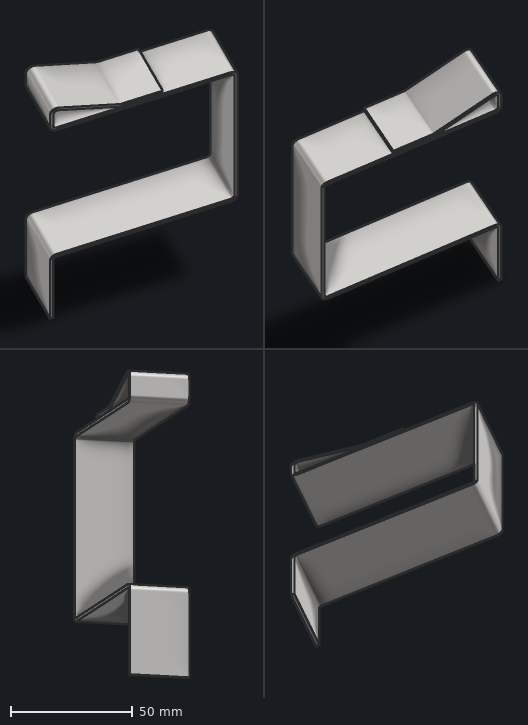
import cadquery as cq
import math

width = 25.4
depth = 84.1
height = 127.8
thickness = 1.5
inside_bend_radius = 1.5

lower_arm_top = 38.3
upper_arm_top = 115.9
tab_gap = 0.4
clip_angle = 19.5
tab_end = 50.5

half = thickness / 2
bend_radius = inside_bend_radius + half
front = half
back = depth - half
lower_level = lower_arm_top - half
upper_level = upper_arm_top - half
tab_level = upper_arm_top + tab_gap + half

clip_bend_angle = math.radians(90 + clip_angle)
clip_bend_center = height - bend_radius - half
clip_corner = clip_bend_center + bend_radius * math.tan(clip_bend_angle / 2)
knee = front + (clip_corner - tab_level) / math.tan(math.radians(clip_angle))

corners = [
    (front, 0),
    (front, lower_level),
    (back, lower_level),
    (back, upper_level),
    (front, upper_level),
    (front, clip_corner),
    (knee, tab_level),
    (tab_end, tab_level),
]


def bend_arc(before, corner, after, offset):
    """Start, middle and end of a bend on the line lying offset to the left of the centreline."""
    heading_in = math.atan2(corner[1] - before[1], corner[0] - before[0])
    heading_out = math.atan2(after[1] - corner[1], after[0] - corner[0])
    turn = math.remainder(heading_out - heading_in, 2 * math.pi)
    side = math.copysign(1, turn)
    setback = bend_radius * math.tan(abs(turn) / 2)
    center_y = corner[0] - setback * math.cos(heading_in) - side * bend_radius * math.sin(heading_in)
    center_z = corner[1] - setback * math.sin(heading_in) + side * bend_radius * math.cos(heading_in)
    reach = side * bend_radius - offset
    headings = (heading_in, heading_in + turn / 2, heading_in + turn)
    return [(center_y + reach * math.sin(a), center_z - reach * math.cos(a)) for a in headings]


def draw_side(outline, path, offset):
    """Draw the straights and bends of one strip face up to its last bend."""
    for before, corner, after in zip(path, path[1:], path[2:]):
        start, middle, end = bend_arc(before, corner, after, offset)
        outline = outline.lineTo(*start).threePointArc(middle, end)
    return outline


outline = cq.Workplane("YZ").moveTo(front - half, 0)
outline = draw_side(outline, corners, half)
outline = outline.lineTo(tab_end, tab_level + half).lineTo(tab_end, tab_level - half)
outline = draw_side(outline, corners[::-1], half)
outline = outline.lineTo(front + half, 0).close()

result = outline.extrude(width)